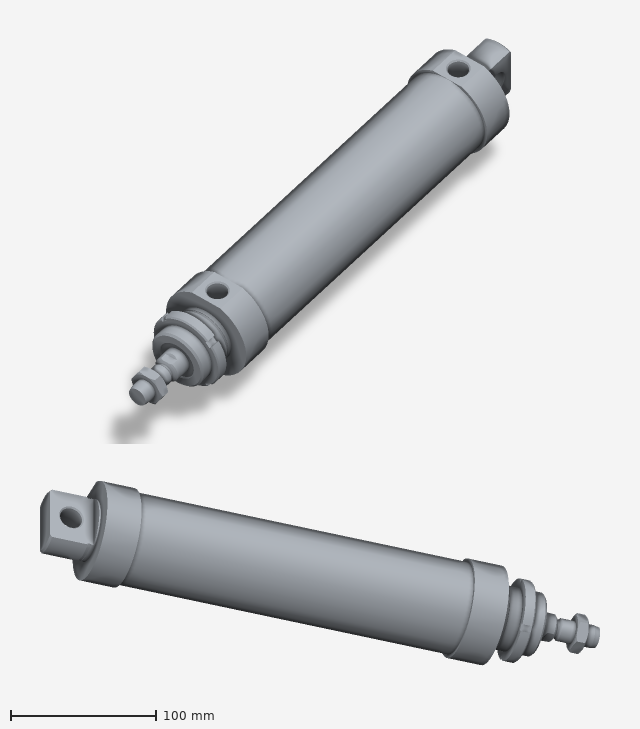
import cadquery as cq
import math


CAP_DIAMETER = 70.0
CAP_LENGTH = 25.0
FLAT_HEIGHT = 32.7
PORT_DIAMETER = 14.95
PORT_RIM_DIAMETER = 17.0
PORT_OFFSET = CAP_LENGTH / 2
SHOULDER_LENGTH = 2.0

TUBE_DIAMETER = 65.0
TUBE_BORE = 63.0
CAP_SPACING = 244.0
REAR_CAP_START = CAP_LENGTH + CAP_SPACING
REAR_FACE = REAR_CAP_START + CAP_LENGTH

NECK_DIAMETER = 45.0
NECK_LENGTH = 33.0
NECK_CHAMFER = 1.5
COLLAR_DIAMETER = 44.0
COLLAR_LENGTH = 3.2
RELIEF_DIAMETER = 43.38
RELIEF_LENGTH = 2.3
RECESS_DIAMETER = 30.0
RECESS_DEPTH = 1.5
RECESS_CHAMFER = 0.5

TANG_LENGTH = 33.0
TANG_THICKNESS = 20.85
TANG_FLAT_START = 1.2
TANG_HOLE_DIAMETER = 16.0
TANG_HOLE_RIM_DIAMETER = 18.0
TANG_HOLE_FROM_END = 15.7

ROD_DIAMETER = 20.0
ROD_END_DIAMETER = 19.5
ROD_TIP = -77.0
THREAD_DIAMETER = 16.0
TIP_DIAMETER = 14.38
TIP_TAPER_LENGTH = 4.0
UNDERCUT_DIAMETER = 13.5
THREAD_LENGTH = 28.0
UNDERCUT_LENGTH = 4.0
UNDERCUT_TAPER = 1.4
ROD_END_CHAMFER = 1.0
ROD_END_LENGTH = 39.5
ROD_SHOULDER = ROD_TIP + ROD_END_LENGTH
WRENCH_WIDTH = 17.0
SPEAR_DIAMETER = 12.0
SPEAR_END_WALL = 5.0
SPEAR_END = REAR_FACE - SPEAR_END_WALL

ROD_NUT_WIDTH = 24.0
ROD_NUT_THICKNESS = 8.0
ROD_NUT_FROM_TIP = 10.0
ROD_NUT_START = ROD_TIP + ROD_NUT_FROM_TIP
ROD_NUT_CHAMFER_ANGLE = 30.0

RING_NUT_DIAMETER = 58.0
RING_NUT_THICKNESS = 8.0
RING_NUT_START = -22.5
RING_NUT_CHAMFER = 1.0
SLOT_COUNT = 4
SLOT_WIDTH = 5.0
SLOT_DEPTH = 2.5


def along_y(start):
    """Workplane at the given Y that extrudes toward +Y."""
    return cq.Workplane("ZX", origin=(0, start, 0))


def cylinder(diameter, start, end):
    return along_y(start).circle(diameter / 2).extrude(end - start)


def turned(profile):
    """Solid of revolution about Y from (radius, y) points."""
    return cq.Workplane("XY").polyline(profile).close().revolve(360, (0, 0), (0, 1))


def port(y):
    """Cutter for a countersunk air port from the flat down to the cylinder axis."""
    rim_depth = (PORT_RIM_DIAMETER - PORT_DIAMETER) / 2
    drill = cq.Workplane("XY", origin=(0, y, 0)).circle(PORT_DIAMETER / 2).extrude(CAP_DIAMETER / 2)
    rim = (
        cq.Workplane("XY", origin=(0, y, FLAT_HEIGHT))
        .circle(PORT_RIM_DIAMETER / 2)
        .workplane(offset=-rim_depth)
        .circle(PORT_DIAMETER / 2)
        .loft()
    )
    return drill.union(rim)


def cap_body(start):
    """Round cap with a flat on top, shared by both ends."""
    body = cylinder(CAP_DIAMETER, start, start + CAP_LENGTH)
    above_flat = cq.Workplane("XY", origin=(0, start + CAP_LENGTH / 2, FLAT_HEIGHT)).box(
        CAP_DIAMETER, CAP_LENGTH, CAP_DIAMETER, centered=(True, True, False)
    )
    return body.cut(above_flat)


def neck_profile(length):
    """(radius, distance from the cap face) outline of a thread boss with a relief near its root."""
    relief_end = COLLAR_LENGTH + RELIEF_LENGTH
    return [
        (0, 0),
        (COLLAR_DIAMETER / 2, 0),
        (COLLAR_DIAMETER / 2, COLLAR_LENGTH),
        (RELIEF_DIAMETER / 2, COLLAR_LENGTH),
        (RELIEF_DIAMETER / 2, relief_end),
        (NECK_DIAMETER / 2, relief_end),
        (NECK_DIAMETER / 2, length - NECK_CHAMFER),
        (NECK_DIAMETER / 2 - NECK_CHAMFER, length),
        (0, length),
    ]


def make_front_cap():
    neck = turned([(r, -d) for r, d in neck_profile(NECK_LENGTH)])
    shoulder_end = CAP_LENGTH + SHOULDER_LENGTH
    cap = (
        cap_body(0)
        .union(neck)
        .union(cylinder(TUBE_DIAMETER, CAP_LENGTH, shoulder_end))
    )
    rim_radius = RECESS_DIAMETER / 2
    recess = turned(
        [
            (0, -NECK_LENGTH),
            (rim_radius, -NECK_LENGTH),
            (rim_radius - RECESS_CHAMFER, -NECK_LENGTH + RECESS_CHAMFER),
            (rim_radius - RECESS_CHAMFER, -NECK_LENGTH + RECESS_DEPTH),
            (0, -NECK_LENGTH + RECESS_DEPTH),
        ]
    )
    rod_hole = cylinder(ROD_DIAMETER, -NECK_LENGTH, shoulder_end)
    return cap.cut(recess).cut(rod_hole).cut(port(PORT_OFFSET))


def tang_hole():
    """Cutter for the clevis pin hole along X, countersunk on both faces of the tang."""
    hole_y = REAR_FACE + TANG_LENGTH - TANG_HOLE_FROM_END
    rim_depth = (TANG_HOLE_RIM_DIAMETER - TANG_HOLE_DIAMETER) / 2
    half = TANG_THICKNESS / 2
    return (
        cq.Workplane("XY")
        .polyline(
            [
                (-half, 0),
                (-half, TANG_HOLE_RIM_DIAMETER / 2),
                (-half + rim_depth, TANG_HOLE_DIAMETER / 2),
                (half - rim_depth, TANG_HOLE_DIAMETER / 2),
                (half, TANG_HOLE_RIM_DIAMETER / 2),
                (half, 0),
            ]
        )
        .close()
        .revolve(360, (0, 0), (1, 0))
        .translate((0, hole_y, 0))
    )


def make_tang():
    """Threaded boss milled flat on both sides to form the clevis tang."""
    boss = turned([(r, REAR_FACE + d) for r, d in neck_profile(TANG_LENGTH)])
    for side in (-1, 1):
        side_cut = cq.Workplane("XY").box(
            NECK_DIAMETER, TANG_LENGTH, CAP_DIAMETER, centered=(True, False, True)
        )
        x = side * (TANG_THICKNESS + NECK_DIAMETER) / 2
        boss = boss.cut(side_cut.translate((x, REAR_FACE + TANG_FLAT_START, 0)))
    return boss


def make_rear_cap():
    shoulder_start = REAR_CAP_START - SHOULDER_LENGTH
    cap = (
        cap_body(REAR_CAP_START)
        .union(make_tang())
        .union(cylinder(TUBE_DIAMETER, shoulder_start, REAR_CAP_START))
    )
    spear_hole = cylinder(SPEAR_DIAMETER, shoulder_start, SPEAR_END)
    return cap.cut(tang_hole()).cut(spear_hole).cut(port(REAR_FACE - PORT_OFFSET))


def make_tube():
    start = CAP_LENGTH + SHOULDER_LENGTH
    end = REAR_CAP_START - SHOULDER_LENGTH
    return cylinder(TUBE_DIAMETER, start, end).cut(cylinder(TUBE_BORE, start, end))


def make_rod():
    thread_end = ROD_TIP + THREAD_LENGTH
    undercut_end = thread_end + UNDERCUT_LENGTH
    spear_start = REAR_CAP_START - SHOULDER_LENGTH
    rod = turned(
        [
            (0, ROD_TIP),
            (TIP_DIAMETER / 2, ROD_TIP),
            (THREAD_DIAMETER / 2, ROD_TIP + TIP_TAPER_LENGTH),
            (THREAD_DIAMETER / 2, thread_end),
            (UNDERCUT_DIAMETER / 2, thread_end + UNDERCUT_TAPER),
            (UNDERCUT_DIAMETER / 2, undercut_end - UNDERCUT_TAPER),
            (ROD_END_DIAMETER / 2 - ROD_END_CHAMFER, undercut_end),
            (ROD_END_DIAMETER / 2, undercut_end + ROD_END_CHAMFER),
            (ROD_DIAMETER / 2, ROD_SHOULDER),
            (ROD_DIAMETER / 2, spear_start),
            (SPEAR_DIAMETER / 2, spear_start),
            (SPEAR_DIAMETER / 2, SPEAR_END),
            (0, SPEAR_END),
        ]
    )
    flat_z = WRENCH_WIDTH / 2
    rod_radius = ROD_DIAMETER / 2
    flat_cut = (
        cq.Workplane("YZ")
        .polyline(
            [
                (undercut_end, flat_z),
                (ROD_SHOULDER - (rod_radius - flat_z), flat_z),
                (ROD_SHOULDER, rod_radius),
                (undercut_end, rod_radius),
            ]
        )
        .close()
        .extrude(rod_radius, both=True)
    )
    return rod.cut(flat_cut).cut(flat_cut.mirror("XY"))


def make_rod_nut():
    end = ROD_NUT_START + ROD_NUT_THICKNESS
    corner_diameter = ROD_NUT_WIDTH / math.cos(math.pi / 6)
    base = along_y(ROD_NUT_START).transformed(rotate=(0, 0, 90))
    nut = base.polygon(6, corner_diameter).extrude(ROD_NUT_THICKNESS)
    drop = (corner_diameter - ROD_NUT_WIDTH) / 2 * math.tan(math.radians(ROD_NUT_CHAMFER_ANGLE))
    envelope = turned(
        [
            (0, ROD_NUT_START),
            (ROD_NUT_WIDTH / 2, ROD_NUT_START),
            (corner_diameter / 2, ROD_NUT_START + drop),
            (corner_diameter / 2, end - drop),
            (ROD_NUT_WIDTH / 2, end),
            (0, end),
        ]
    )
    return nut.intersect(envelope).cut(cylinder(THREAD_DIAMETER, ROD_NUT_START, end))


def make_ring_nut():
    end = RING_NUT_START + RING_NUT_THICKNESS
    nut = cylinder(RING_NUT_DIAMETER, RING_NUT_START, end).faces("<Y").chamfer(RING_NUT_CHAMFER)
    slot = along_y(RING_NUT_START).center(RING_NUT_DIAMETER / 2, 0)
    slot = slot.rect(2 * SLOT_DEPTH, SLOT_WIDTH).extrude(RING_NUT_THICKNESS)
    for i in range(SLOT_COUNT):
        angle = 360 / SLOT_COUNT * (i + 0.5)
        nut = nut.cut(slot.rotate((0, 0, 0), (0, 1, 0), angle))
    return nut.cut(cylinder(NECK_DIAMETER, RING_NUT_START, end))


front_cap = make_front_cap()
rear_cap = make_rear_cap()
tube = make_tube()
rod = make_rod()
rod_nut = make_rod_nut()
ring_nut = make_ring_nut()

result = cq.Compound.makeCompound(
    [front_cap.val(), rear_cap.val(), tube.val(), rod.val(), rod_nut.val(), ring_nut.val()]
)